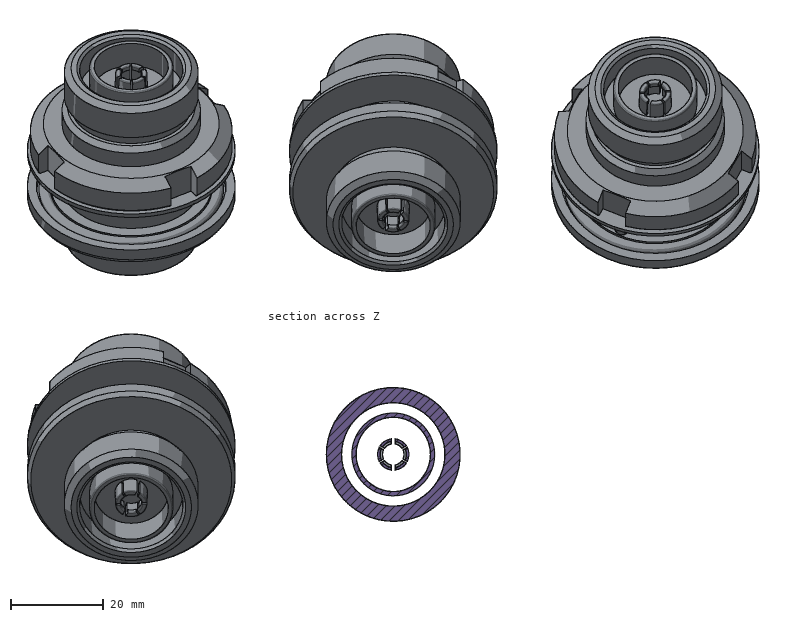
import cadquery as cq

total_height = 47.7

rim_drop = 0.5
head_radius = 14.5
head_face_radius = 13.0
head_chamfer_end = 1.45
head_bottom = 8.1
neck_start = 8.85
neck_radius = 13.0

socket_depth = 6.2
socket_radius = 11.15
socket_mouth_radius = 11.8
socket_chamfer_height = 0.5
sleeve_radius = 9.0
sleeve_bore_radius = 8.0
sleeve_edge_radius = 0.25

contact_drop = 1.75
contact_radius = 3.55
contact_tip_radius = 3.4
contact_edge_radius = 0.2
contact_bore_radius = 2.8
lip_bore_radius = 2.3
lip_height = 1.05
main_slot_width = 0.75
side_slot_width = 0.4
side_slot_angles = (30, 150)

barrel_radius = 15.0
barrel_face_radius = 13.85
barrel_chamfer_start = 35.7
barrel_top = 36.8

flange_diameter = 45.0
flange_radius = flange_diameter / 2
flange_bottom_radius = 21.75
flange_bottom = 11.0
flange_chamfer_top = 12.1
flange_top = 14.85

ring_section_radius = 1.25
ring_protrusion = 0.3
groove_inner_radius = 17.5
groove_outer_radius = 20.5
ring_radius = groove_inner_radius + ring_section_radius
groove_depth = 2 * ring_section_radius - ring_protrusion

washer_bottom = 23.85
washer_top = 24.8
nut_radius = 21.85
nut_bottom_radius = 21.45
nut_bottom_chamfer_end = 25.3
nut_face_radius = 19.05
nut_top_chamfer_start = 30.05
nut_top = 31.9
spanner_slot_width = 6.65
spanner_slot_floor = 19.18
spanner_slot_count = 4

pin_radius = 1.5
pin_reach = 17.65
pin_height = 16.7
pin_chamfer_length = 0.4
pin_chamfer_depth = 0.25


def turned(profile):
    """Solid of revolution about Z from a closed (radius, height) outline."""
    outline = [(-radius, height) for radius, height in profile]
    return cq.Workplane("XZ").polyline(outline).close().revolve(360, (0, 0), (0, 1))


def cylinder(radius, bottom, top):
    return cq.Workplane("XY").workplane(offset=bottom).circle(radius).extrude(top - bottom)


def make_head():
    """Upper head, down to the start of the neck, as a solid disc."""
    end = total_height
    return turned([
        (0, end - neck_start),
        (neck_radius, end - neck_start),
        (head_radius, end - head_bottom),
        (head_radius, end - head_chamfer_end),
        (head_face_radius, end - rim_drop),
        (0, end - rim_drop),
    ])


def make_socket():
    """Space removed from the upper head."""
    floor = total_height - socket_depth
    rim = total_height - rim_drop
    return turned([
        (0, floor),
        (socket_radius, floor),
        (socket_radius, rim - socket_chamfer_height),
        (socket_mouth_radius, rim),
        (0, rim),
    ])


def make_sleeve():
    """Thin sleeve standing on the socket floor."""
    floor = total_height - socket_depth
    sleeve = cylinder(sleeve_radius, floor, total_height).faces(">Z").edges().fillet(sleeve_edge_radius)
    return sleeve.cut(cylinder(sleeve_bore_radius, floor, total_height))


def make_contact():
    """Hollow centre contact with a lipped tip, split into six fingers by three slots."""
    floor = total_height - socket_depth
    tip = total_height - contact_drop
    contact = turned([
        (contact_bore_radius, floor),
        (contact_radius, floor),
        (contact_tip_radius, tip),
        (lip_bore_radius, tip),
        (lip_bore_radius, tip - lip_height),
        (contact_bore_radius, tip - lip_height),
    ])
    contact = contact.faces(">Z").edges("%CIRCLE").fillet(contact_edge_radius)
    slot_length = 2 * sleeve_bore_radius
    slots = [(90, main_slot_width)]
    slots += [(angle, side_slot_width) for angle in side_slot_angles]
    for angle, width in slots:
        slot = (
            cq.Workplane("XY")
            .workplane(offset=floor)
            .rect(slot_length, width)
            .extrude(socket_depth)
            .rotate((0, 0, 0), (0, 0, 1), angle)
        )
        contact = contact.cut(slot)
    return contact


def make_end():
    """Complete upper end interface."""
    return make_head().cut(make_socket()).union(make_sleeve()).union(make_contact())


def make_barrel():
    """Neck-width core with the wider barrel and its chamfered shoulder."""
    core = cylinder(neck_radius, neck_start, total_height - neck_start)
    barrel = turned([
        (0, flange_bottom),
        (barrel_radius, flange_bottom),
        (barrel_radius, barrel_chamfer_start),
        (barrel_face_radius, barrel_top),
        (0, barrel_top),
    ])
    return core.union(barrel)


def make_flange():
    """Chamfered flange with the O-ring groove in its upper face."""
    groove_floor = flange_top - groove_depth
    return turned([
        (0, flange_bottom),
        (flange_bottom_radius, flange_bottom),
        (flange_radius, flange_chamfer_top),
        (flange_radius, flange_top),
        (groove_outer_radius, flange_top),
        (groove_outer_radius, groove_floor),
        (groove_inner_radius, groove_floor),
        (groove_inner_radius, flange_top),
        (0, flange_top),
    ])


def make_nut():
    """Chamfered round nut with spanner slots around its rim."""
    nut = turned([
        (0, washer_top),
        (nut_bottom_radius, washer_top),
        (nut_radius, nut_bottom_chamfer_end),
        (nut_radius, nut_top_chamfer_start),
        (nut_face_radius, nut_top),
        (0, nut_top),
    ])
    slot_length = flange_radius - spanner_slot_floor
    for index in range(spanner_slot_count):
        slot = (
            cq.Workplane("XY")
            .workplane(offset=washer_top)
            .center(spanner_slot_floor + slot_length / 2, 0)
            .rect(slot_length, spanner_slot_width)
            .extrude(nut_top - washer_top)
            .rotate((0, 0, 0), (0, 0, 1), index * 360 / spanner_slot_count)
        )
        nut = nut.cut(slot)
    return nut


def make_pin():
    """Radial locating pin, rooted inside the barrel."""
    pin = cq.Workplane("XZ", origin=(0, 0, pin_height)).circle(pin_radius).extrude(-pin_reach)
    return pin.faces(">Y").chamfer(pin_chamfer_length, pin_chamfer_depth)


def make_housing():
    upper_end = make_end()
    lower_end = upper_end.mirror("XY", (0, 0, total_height / 2))
    washer = cylinder(flange_radius, washer_bottom, washer_top)
    housing = make_barrel().union(make_flange()).union(washer).union(make_nut())
    return housing.union(make_pin()).union(upper_end).union(lower_end)


def make_o_ring():
    ring_height = flange_top - groove_depth + ring_section_radius
    section = cq.Workplane("XZ").center(-ring_radius, ring_height).circle(ring_section_radius)
    return section.revolve(360, (ring_radius, 0), (ring_radius, 1))


housing = make_housing()
o_ring = make_o_ring()

result = cq.Compound.makeCompound([housing.solids().val(), o_ring.val()])